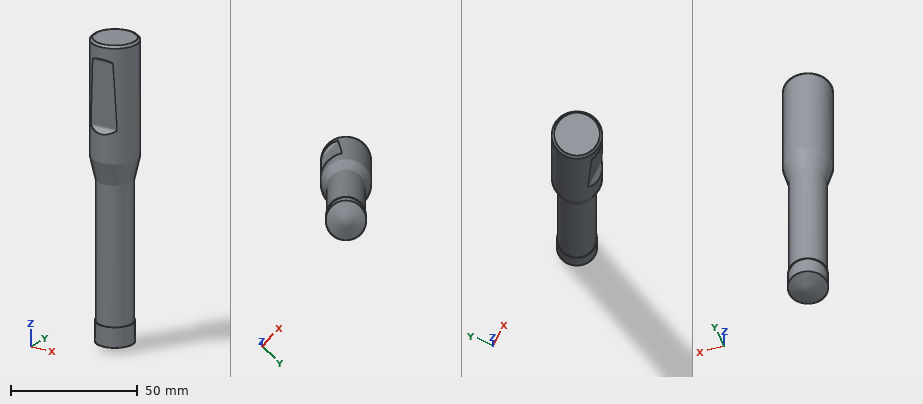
import cadquery as cq

TOTAL_LENGTH = 131.5
TOP_Z = TOTAL_LENGTH

SHANK_RADIUS = 20.0 / 2
NECK_RADIUS = 15.4 / 2
TOP_CHAMFER = 1.0
SHANK_DEPTH = 50.0
SHOULDER_DEPTH = 60.0
NECK_DEPTH = 119.9

HEAD_TOP_RADIUS = 15.9 / 2
HEAD_BOTTOM_RADIUS = 16.0 / 2
POINT_HEIGHT = 2.9

NOTCH_START_DEPTH = 6.0
NOTCH_END_DEPTH = 37.9
FLOOR_START_CUT = 1.21
FLOOR_END_CUT = 2.1
NOTCH_CORNER_RADIUS = 1.25

HEAD_TOP_Z = TOP_Z - NECK_DEPTH


def make_clamping_notch():
    """Prism that cuts the inclined flat and its two 45 degree end walls, with rounded corners."""
    surface_y = -SHANK_RADIUS
    return (
        cq.Workplane("YZ")
        .moveTo(surface_y, TOP_Z - NOTCH_START_DEPTH)
        .lineTo(surface_y + FLOOR_START_CUT, TOP_Z - NOTCH_START_DEPTH - FLOOR_START_CUT)
        .lineTo(surface_y + FLOOR_END_CUT, TOP_Z - NOTCH_END_DEPTH + FLOOR_END_CUT)
        .lineTo(surface_y, TOP_Z - NOTCH_END_DEPTH)
        .close()
        .extrude(SHANK_RADIUS, both=True)
        .edges("|X and (not <Y)")
        .fillet(NOTCH_CORNER_RADIUS)
    )


def make_holder():
    """Chamfered shank, tapered shoulder and neck in one turned body, with the clamping notch."""
    turned = (
        cq.Workplane("XZ")
        .moveTo(0, TOP_Z)
        .lineTo(SHANK_RADIUS - TOP_CHAMFER, TOP_Z)
        .lineTo(SHANK_RADIUS, TOP_Z - TOP_CHAMFER)
        .lineTo(SHANK_RADIUS, TOP_Z - SHANK_DEPTH)
        .lineTo(NECK_RADIUS, TOP_Z - SHOULDER_DEPTH)
        .lineTo(NECK_RADIUS, HEAD_TOP_Z)
        .lineTo(0, HEAD_TOP_Z)
        .close()
        .revolve(360, (0, 0, 0), (0, 1, 0))
    )
    return turned.cut(make_clamping_notch())


def make_cutting_head():
    """Head that widens slightly away from the neck, ending in a shallow conical point."""
    return (
        cq.Workplane("XZ")
        .moveTo(0, HEAD_TOP_Z)
        .lineTo(HEAD_TOP_RADIUS, HEAD_TOP_Z)
        .lineTo(HEAD_BOTTOM_RADIUS, POINT_HEIGHT)
        .lineTo(0, 0)
        .close()
        .revolve(360, (0, 0, 0), (0, 1, 0))
    )


holder = make_holder()
cutting_head = make_cutting_head()

result = cq.Compound.makeCompound([holder.val(), cutting_head.val()])